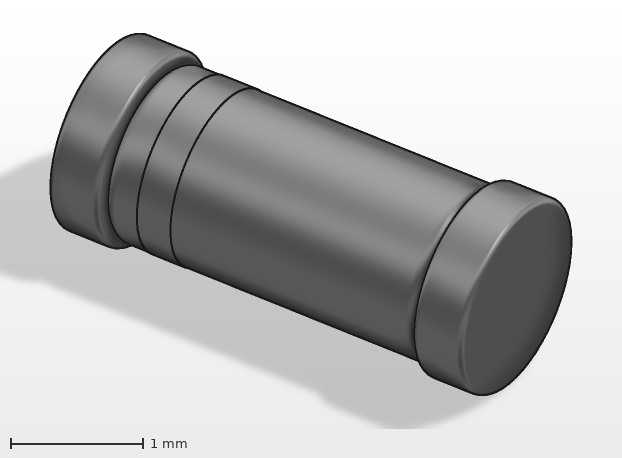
import cadquery as cq

total_length = 3.7
cap_diameter = 1.6
cap_length = 0.45
cap_edge_radius = 0.05
body_diameter = 1.45
body_edge_radius = 0.1
band_diameter = 1.46
band_width = 0.3
band_gap = 0.3

left_end = -total_length / 2
right_end = total_length / 2
body_start = left_end + cap_length
body_length = total_length - 2 * cap_length


def cylinder_along_x(start, length, diameter):
    """Solid cylinder on the X axis, growing toward +X from start."""
    return cq.Workplane("YZ", origin=(start, 0, 0)).circle(diameter / 2).extrude(length)


def end_cap(start):
    """Metal end cap with both rims rounded."""
    return cylinder_along_x(start, cap_length, cap_diameter).edges("%CIRCLE").fillet(cap_edge_radius)


def body():
    """Body between the caps, rounded where it meets them."""
    return cylinder_along_x(body_start, body_length, body_diameter).edges("%CIRCLE").fillet(body_edge_radius)


def polarity_band():
    """Slightly raised ring that marks the -X end."""
    return cylinder_along_x(body_start + band_gap, band_width, band_diameter)


result = body().union(polarity_band())
for cap_start in (left_end, right_end - cap_length):
    result = result.union(end_cap(cap_start))